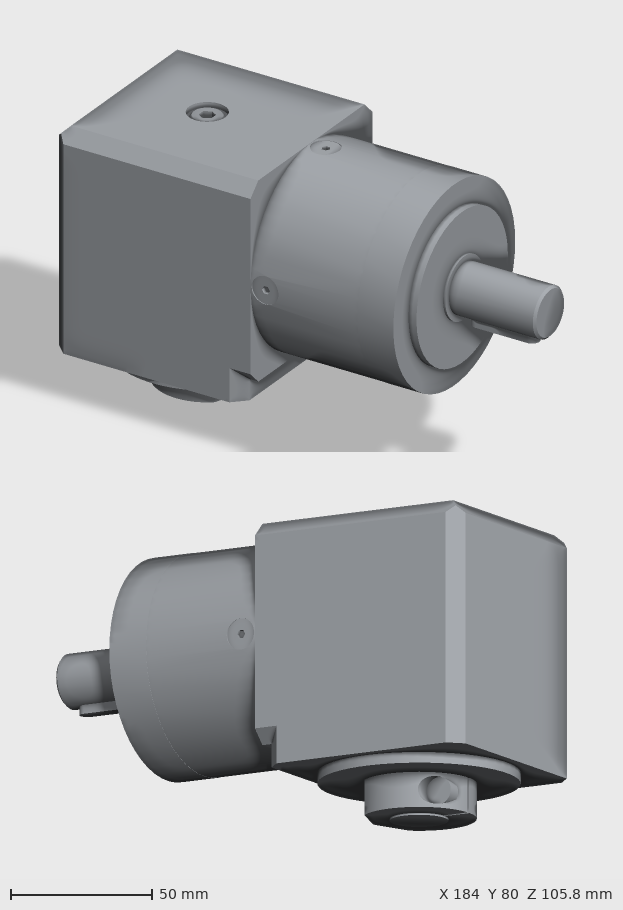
import cadquery as cq
import math

total_length = 184.0
width = 80.0
housing_length = 83.7
housing_height = 88.5
edge_chamfer = 5.2
heel_length = 80.0

top_z = width / 2
housing_bottom_z = top_z - housing_height
input_x = width / 2

case_diameter = 79.9
case_end_x = 128.6
flange_end_x = 143.7
pilot_diameter = 60.0
pilot_end_x = 147.0
shoulder_diameter = 25.0
shoulder_end_x = 148.0
shaft_diameter = 20.0
shaft_chamfer = 1.0
key_start_x = 151.5
key_length = 28.0
key_width = 6.0
key_height = 6.0
key_proud = 2.8

plug_x = 89.8
plug_count = 4
plug_diameter = 11.2
plug_depth = 0.5
plug_hex_corners = 3.3
plug_hex_depth = 1.5

screw_bore_diameter = 15.3
screw_bore_depth = 2.2
screw_head_diameter = 12.9
screw_head_height = 1.1
screw_head_chamfer = 1.0
screw_hex_flats = 5.3
screw_hex_depth = 3.0

disc_diameter = 72.0
disc_thickness = 3.9
hub_diameter = 40.8
hub_height = 12.7
rim_diameter = 20.8
rim_height = 0.7
slit_width = 1.5
apex_distance = 19.0
flat_tilt = 20.3
clamp_bore_diameter = 10.0
clamp_axis_offset = 15.0
clamp_floor_y = 6.6
clamp_head_y = 11.8

disc_bottom_z = housing_bottom_z - disc_thickness
hub_bottom_z = disc_bottom_z - hub_height


def turned(diameter, start_x, end_x):
    """Cylinder on the output axis between two X positions."""
    return cq.Workplane("YZ", origin=(start_x, 0, 0)).circle(diameter / 2).extrude(end_x - start_x)


def hung(diameter, start_z, height):
    """Cylinder on the input axis, growing downwards from start_z."""
    return cq.Workplane("XY", origin=(input_x, 0, start_z)).circle(diameter / 2).extrude(-height)


def make_housing():
    """L-shaped block with chamfers along its side edges and its free top edge."""
    heel_top_z = -width / 2
    block = (
        cq.Workplane("XZ", origin=(0, width / 2, 0))
        .moveTo(0, top_z)
        .lineTo(housing_length, top_z)
        .lineTo(housing_length, heel_top_z)
        .lineTo(heel_length, heel_top_z)
        .lineTo(heel_length, housing_bottom_z)
        .lineTo(0, housing_bottom_z)
        .close()
        .extrude(width)
    )
    side_edges = block.faces("|Y").edges("not (<Z or >X)")
    block = side_edges.chamfer(edge_chamfer)
    free_top_wedge = (
        cq.Workplane("XZ", origin=(0, width / 2, 0))
        .moveTo(0, top_z)
        .lineTo(edge_chamfer, top_z)
        .lineTo(0, top_z - edge_chamfer)
        .close()
        .extrude(width)
    )
    return block.cut(free_top_wedge)


def make_gearhead():
    """Case, flange, pilot, shoulder and keyed output shaft."""
    shaft = turned(shaft_diameter, shoulder_end_x, total_length).faces(">X").chamfer(shaft_chamfer)
    key_bottom_z = -shaft_diameter / 2 - key_proud
    key = (
        cq.Workplane("XY", origin=(key_start_x + key_length / 2, 0, key_bottom_z))
        .slot2D(key_length, key_width)
        .extrude(key_height)
    )
    return (
        turned(case_diameter, housing_length, case_end_x)
        .union(turned(width, case_end_x, flange_end_x))
        .union(turned(pilot_diameter, flange_end_x, pilot_end_x))
        .union(turned(shoulder_diameter, pilot_end_x, shoulder_end_x))
        .union(shaft)
        .union(key)
    )


def make_input():
    """Input disc and clamping hub with relief flats, slit and clamp screw."""
    disc = hung(disc_diameter, housing_bottom_z, disc_thickness)

    hub_radius = hub_diameter / 2
    flat_run = hub_radius * math.tan(math.radians(flat_tilt))
    relief = (
        cq.Workplane("XY", origin=(input_x, 0, hub_bottom_z))
        .moveTo(apex_distance, 0)
        .lineTo(apex_distance - flat_run, hub_radius)
        .lineTo(hub_diameter, hub_radius)
        .lineTo(hub_diameter, -hub_radius)
        .lineTo(apex_distance - flat_run, -hub_radius)
        .close()
        .extrude(hub_height)
    )

    slit_start_x = input_x - hub_radius
    slit_end_x = input_x - rim_diameter / 2
    slit = (
        cq.Workplane("XY", origin=(slit_start_x, 0, hub_bottom_z))
        .rect(2 * (slit_end_x - slit_start_x), slit_width)
        .extrude(hub_height)
    )

    clamp_origin = (input_x - clamp_axis_offset, clamp_floor_y, hub_bottom_z + hub_height / 2)
    clamp_plane = cq.Workplane("XZ", origin=clamp_origin)
    clamp_bore = clamp_plane.circle(clamp_bore_diameter / 2).extrude(-hub_radius)
    clamp_head = clamp_plane.circle(clamp_bore_diameter / 2).extrude(clamp_floor_y - clamp_head_y)

    hub = hung(hub_diameter, disc_bottom_z, hub_height).cut(relief).cut(slit).cut(clamp_bore)
    rim = hung(rim_diameter, hub_bottom_z, rim_height)
    return disc.union(hub).union(clamp_head).union(rim)


def cut_plugs(body):
    """Flat plug faces with hexagon sockets, evenly spaced around the case."""
    face_radius = case_diameter / 2 - plug_depth
    face_plane = cq.Workplane("XY", origin=(plug_x, 0, face_radius))
    recess = face_plane.circle(plug_diameter / 2).extrude(width)
    socket = face_plane.polygon(6, plug_hex_corners).extrude(-plug_hex_depth)
    cutter = recess.union(socket)
    for i in range(plug_count):
        body = body.cut(cutter.rotate((0, 0, 0), (1, 0, 0), i * 360 / plug_count))
    return body


def add_top_screw(body):
    """Counterbore in the housing top holding a socket head screw."""
    top = cq.Workplane("XY", origin=(input_x, 0, top_z))
    floor = top.workplane(offset=-screw_bore_depth)
    bore = top.circle(screw_bore_diameter / 2).extrude(-screw_bore_depth)
    head = floor.circle(screw_head_diameter / 2).extrude(screw_head_height)
    head = head.faces(">Z").chamfer(screw_head_chamfer)
    socket = (
        floor.workplane(offset=screw_head_height)
        .polygon(6, screw_hex_flats, circumscribed=True)
        .extrude(-screw_hex_depth, combine=False)
    )
    return body.cut(bore).union(head).cut(socket)


body = make_housing().union(make_gearhead()).union(make_input())
result = add_top_screw(cut_plugs(body))